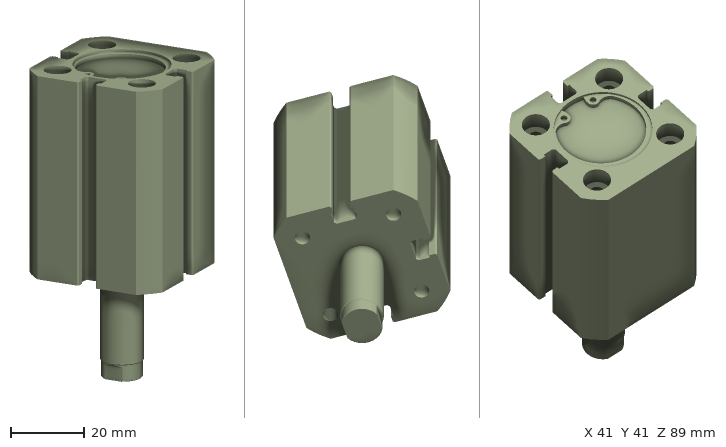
import cadquery as cq
import math


overall_length = 89.0
housing_width = 41.0
housing_height = 58.0
half_width = housing_width / 2
rod_projection = overall_length - housing_height

corner_radius = 25.5

hole_spacing = 26.0
hole_diameter = 4.2
counterbore_diameter = 7.65
counterbore_depth = 5.25

slot_floor_distance = 14.6
slot_inner_width = 6.6
slot_mouth_width = 5.2
slot_lip_depth = 2.2
slot_mouth_chamfer = 0.45
slot_floor_chamfer = 0.6
slot_angles = (-90, 0, 90)

recess_diameter = 27.0
recess_radius = recess_diameter / 2
ring_depth = 0.7
ring_thickness = 1.3
cap_thickness = 5.0
cap_top = housing_height - ring_depth - ring_thickness
cap_bottom = cap_top - cap_thickness

ring_opening_radius = 12.4
ring_opening_offset = 0.9
lug_radius = 1.8
lug_hole_diameter = 1.9
lug_x = 5.2
lug_y = -10.4
lug_side_length = 0.9
lug_foot_x = 3.8
neck_radius = 3.3
opening_center = (0, -ring_opening_offset)
lug_center = (lug_x, lug_y)

rod_diameter = 11.9
rod_radius = rod_diameter / 2
tip_diameter = 11.4
tip_length = 5.0
tip_chamfer = 0.2
shoulder_chamfer = (rod_diameter - tip_diameter) / 2
flat_distance = 10.0


def make_slot():
    """T-shaped sensor slot on the -Y side, over the full housing height."""
    inner = slot_inner_width / 2
    mouth = slot_mouth_width / 2
    floor_y = -slot_floor_distance
    lip_y = slot_lip_depth - half_width
    right_side = [
        (mouth + slot_mouth_chamfer, -half_width),
        (mouth, slot_mouth_chamfer - half_width),
        (mouth, lip_y),
        (inner, lip_y),
        (inner, floor_y - slot_floor_chamfer),
        (inner - slot_floor_chamfer, floor_y),
    ]
    left_side = [(-x, y) for x, y in reversed(right_side)]
    return cq.Workplane("XY").polyline(right_side + left_side).close().extrude(housing_height)


def make_housing():
    """Square extrusion with rounded corners, slots, mounting holes, recess and rod bore."""
    corners = cq.Workplane("XY").circle(corner_radius).extrude(housing_height)
    housing = (
        cq.Workplane("XY")
        .rect(housing_width, housing_width)
        .extrude(housing_height)
        .intersect(corners)
    )
    for angle in slot_angles:
        housing = housing.cut(make_slot().rotate((0, 0, 0), (0, 0, 1), angle))
    housing = (
        housing.faces(">Z")
        .workplane(origin=(0, 0, housing_height))
        .rect(hole_spacing, hole_spacing, forConstruction=True)
        .vertices()
        .cboreHole(hole_diameter, counterbore_diameter, counterbore_depth)
    )
    recess = (
        cq.Workplane("XY", origin=(0, 0, cap_bottom))
        .circle(recess_radius)
        .extrude(housing_height - cap_bottom)
    )
    rod_bore = cq.Workplane("XY").circle(rod_radius).extrude(cap_bottom)
    return housing.cut(recess).cut(rod_bore)


def make_end_cap():
    """Disc that closes the bore below the retaining ring."""
    return cq.Workplane("XY", origin=(0, 0, cap_bottom)).circle(recess_radius).extrude(cap_thickness)


def point_towards(start, end, distance):
    """Point at the given distance from start on the line to end."""
    span = math.dist(start, end)
    return tuple(a + (b - a) * distance / span for a, b in zip(start, end))


def find_neck_center():
    """Center of the right neck arc, tangent inside the ring opening and outside the lug."""
    from_opening = ring_opening_radius - neck_radius
    from_lug = lug_radius + neck_radius
    span = math.dist(opening_center, lug_center)
    lug_angle = math.atan2(lug_center[1] - opening_center[1], lug_center[0] - opening_center[0])
    turn = math.acos((from_opening**2 + span**2 - from_lug**2) / (2 * from_opening * span))
    neck_angle = lug_angle + turn
    return (
        opening_center[0] + from_opening * math.cos(neck_angle),
        opening_center[1] + from_opening * math.sin(neck_angle),
    )


def mirror(point):
    """Same point on the other side of the YZ plane."""
    return (-point[0], point[1])


def make_retaining_ring():
    """Open ring whose inner edge curves through a neck into a round lug at each end."""
    neck = find_neck_center()
    neck_start = point_towards(neck, opening_center, -neck_radius)
    neck_end = point_towards(neck, lug_center, neck_radius)
    neck_bottom = (neck[0], neck[1] - neck_radius)
    lug_top = (lug_x, lug_y + lug_radius)
    lug_side = (lug_x - lug_radius, lug_y)
    lug_corner = (lug_side[0], lug_y - lug_side_length)
    foot = (lug_foot_x, -math.sqrt(recess_radius**2 - lug_foot_x**2))

    ring = (
        cq.Workplane("XY", origin=(0, 0, cap_top))
        .moveTo(*foot)
        .lineTo(*lug_corner)
        .lineTo(*lug_side)
        .threePointArc(lug_top, neck_end)
        .threePointArc(neck_bottom, neck_start)
        .threePointArc((0, ring_opening_radius - ring_opening_offset), mirror(neck_start))
        .threePointArc(mirror(neck_bottom), mirror(neck_end))
        .threePointArc(mirror(lug_top), mirror(lug_side))
        .lineTo(*mirror(lug_corner))
        .lineTo(*mirror(foot))
        .threePointArc((0, recess_radius), foot)
        .close()
        .extrude(ring_thickness)
    )
    lug_holes = (
        cq.Workplane("XY", origin=(0, 0, cap_top))
        .pushPoints([lug_center, mirror(lug_center)])
        .circle(lug_hole_diameter / 2)
        .extrude(ring_thickness)
    )
    return ring.cut(lug_holes)


def make_rod():
    """Round rod from the end cap down to a narrower tip with two wrench flats."""
    tip_radius = tip_diameter / 2
    shoulder_z = tip_length - rod_projection
    rod = (
        cq.Workplane("XZ")
        .moveTo(0, -rod_projection)
        .lineTo(tip_radius - tip_chamfer, -rod_projection)
        .lineTo(tip_radius, tip_chamfer - rod_projection)
        .lineTo(tip_radius, shoulder_z - shoulder_chamfer)
        .lineTo(rod_radius, shoulder_z)
        .lineTo(rod_radius, cap_bottom)
        .lineTo(0, cap_bottom)
        .close()
        .revolve(360, (0, 0), (0, 1))
    )
    flat_y = flat_distance / 2
    slope = rod_radius - flat_y
    flat_cut = (
        cq.Workplane("YZ")
        .moveTo(flat_y, -rod_projection)
        .lineTo(flat_y, shoulder_z - slope)
        .lineTo(rod_radius, shoulder_z)
        .lineTo(rod_radius, -rod_projection)
        .close()
        .extrude(rod_radius, both=True)
    )
    return rod.cut(flat_cut).cut(flat_cut.mirror("XZ"))


housing = make_housing()
end_cap = make_end_cap()
retaining_ring = make_retaining_ring()
rod = make_rod()

result = cq.Compound.makeCompound([housing.val(), end_cap.val(), retaining_ring.val(), rod.val()])